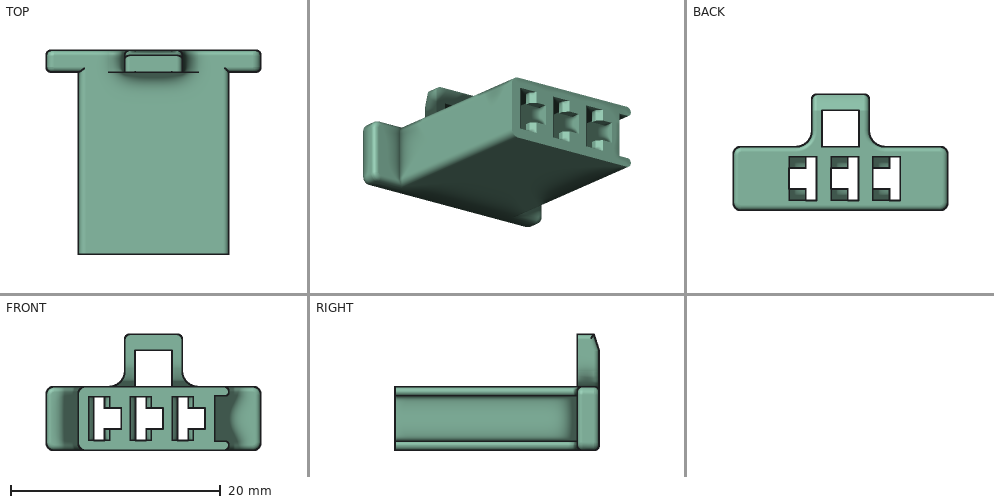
import cadquery as cq
import math

body_width = 14.4
body_height = 6.1
overall_length = 19.5
body_corner_radius = 0.75

lip_thickness = 0.9
lip_outer_radius = 0.5
lip_inner_radius = lip_thickness - lip_outer_radius
channel_depth = 1.35

flange_width = 20.5
flange_thickness = 2.1
flange_corner_radius = 0.75
edge_radius = 0.5

overall_height = 11.1
latch_width = 5.5
latch_window_width = 3.5
latch_bar_height = 1.55
latch_root_radius = 1.5
latch_slope_depth = 0.5
latch_slope_height = 1.55

cavity_count = 3
cavity_pitch = 4.0
first_cavity_left = -6.2
cavity_height = 4.15
slot_width = 1.0
tongue_length = 1.6
tongue_height = 2.0
lead_in = 0.5
stop_block_depth = 1.0

rear_y = overall_length / 2
front_y = -rear_y
flange_front_y = rear_y - flange_thickness
slope_start_z = overall_height - latch_slope_height
mid_z = body_height / 2
diagonal = math.sqrt(0.5)
tolerance = 0.001


def make_body():
    """Rounded bar with the side channel, sunk into the flange past its rounded front rim."""
    half = body_width / 2
    body_rear_y = flange_front_y + edge_radius
    channel_floor_x = half - channel_depth
    outer_inset = lip_outer_radius * (1 - diagonal)
    inner_inset = lip_inner_radius * (1 - diagonal)
    body_inset = body_corner_radius * (1 - diagonal)
    top = body_height
    lip_top = lip_thickness
    lip_bottom = top - lip_thickness
    return (
        cq.Workplane("XZ", origin=(0, body_rear_y, 0))
        .moveTo(-half + body_corner_radius, 0)
        .lineTo(half - lip_outer_radius, 0)
        .threePointArc((half - outer_inset, outer_inset), (half, lip_outer_radius))
        .threePointArc((half - inner_inset, lip_top - inner_inset), (half - lip_inner_radius, lip_top))
        .lineTo(channel_floor_x, lip_top)
        .lineTo(channel_floor_x, lip_bottom)
        .lineTo(half - lip_inner_radius, lip_bottom)
        .threePointArc((half - inner_inset, lip_bottom + inner_inset), (half, top - lip_outer_radius))
        .threePointArc((half - outer_inset, top - outer_inset), (half - lip_outer_radius, top))
        .lineTo(-half + body_corner_radius, top)
        .threePointArc((-half + body_inset, top - body_inset), (-half, top - body_corner_radius))
        .lineTo(-half, body_corner_radius)
        .threePointArc((-half + body_inset, body_inset), (-half + body_corner_radius, 0))
        .close()
        .extrude(body_rear_y - front_y)
    )


def make_flange_plate():
    """Flange plate with rounded corners and a rounded front rim."""
    return (
        cq.Workplane("XY")
        .box(flange_width, flange_thickness, body_height)
        .translate((0, rear_y - flange_thickness / 2, mid_z))
        .edges("|Y").fillet(flange_corner_radius)
        .faces("<Y").edges().fillet(edge_radius)
    )


def make_latch_arch():
    """Solid arch with flared feet and a sloped rear top; its lower part sinks into the flange."""
    half = latch_width / 2
    foot = half + latch_root_radius
    root_inset = latch_root_radius * (1 - diagonal)
    root_top = body_height + latch_root_radius
    arch = (
        cq.Workplane("XZ", origin=(0, rear_y, 0))
        .moveTo(-foot, mid_z)
        .lineTo(foot, mid_z)
        .lineTo(foot, body_height)
        .threePointArc((half + root_inset, body_height + root_inset), (half, root_top))
        .lineTo(half, overall_height)
        .lineTo(-half, overall_height)
        .lineTo(-half, root_top)
        .threePointArc((-half - root_inset, body_height + root_inset), (-foot, body_height))
        .close()
        .extrude(flange_thickness)
    )
    slope_wedge = (
        cq.Workplane("YZ")
        .moveTo(rear_y, slope_start_z)
        .lineTo(rear_y, overall_height)
        .lineTo(rear_y - latch_slope_depth, overall_height)
        .close()
        .extrude(half, both=True)
    )
    return arch.cut(slope_wedge)


def round_rear_rim(flange):
    """Round the rear rim of flange and latch, the slope's sides and the latch's top corners."""
    slope_center = (
        0,
        rear_y - latch_slope_depth / 2,
        overall_height - latch_slope_height / 2,
    )
    slope_face = flange.faces(cq.NearestToPointSelector(slope_center))
    rear_edges = flange.faces(">Y").edges().vals() + slope_face.edges().vals()
    sharp_heights = (slope_start_z, overall_height)
    rim = [
        edge for edge in rear_edges
        if all(abs(edge.Center().z - height) > tolerance for height in sharp_heights)
    ]
    top_corners = flange.edges("|Y").edges(">Z").vals()
    return flange.newObject(rim + top_corners).fillet(edge_radius)


def make_latch_window():
    """Rectangular opening through the arch, down to the top of the flange."""
    window_height = overall_height - latch_bar_height - body_height
    return (
        cq.Workplane("XY")
        .box(latch_window_width, flange_thickness, window_height, centered=(True, True, False))
        .translate((0, rear_y - flange_thickness / 2, body_height))
    )


def make_mouth_prism(mouth_left, inner_left, right, back_y):
    """Prism of cavity height from the front face to back_y, its left side slanted over the lead-in."""
    return (
        cq.Workplane("XY", origin=(0, 0, mid_z - cavity_height / 2))
        .moveTo(mouth_left, front_y)
        .lineTo(right, front_y)
        .lineTo(right, back_y)
        .lineTo(inner_left, back_y)
        .lineTo(inner_left, front_y + lead_in)
        .close()
        .extrude(cavity_height)
    )


def make_cavity(left_x):
    """Rectangular passage narrowed at its mouth to a T by an upper and a lower stop block.

    The wide slot of the mouth has a lead-in on its left wall and on both stop blocks.
    """
    passage_left = left_x + lead_in
    block_left = passage_left + slot_width
    passage_right = block_left + tongue_length
    block_rear_y = front_y + stop_block_depth
    passage = make_mouth_prism(left_x, passage_left, passage_right, rear_y)
    stop_blocks = make_mouth_prism(block_left + lead_in, block_left, passage_right, block_rear_y)
    tongue = (
        cq.Workplane("XY")
        .box(tongue_length, overall_length, tongue_height)
        .translate((passage_right - tongue_length / 2, 0, mid_z))
    )
    return passage.cut(stop_blocks.cut(tongue))


flange = round_rear_rim(make_flange_plate().union(make_latch_arch()))
result = flange.cut(make_latch_window()).union(make_body())
for index in range(cavity_count):
    result = result.cut(make_cavity(first_cavity_left + index * cavity_pitch))